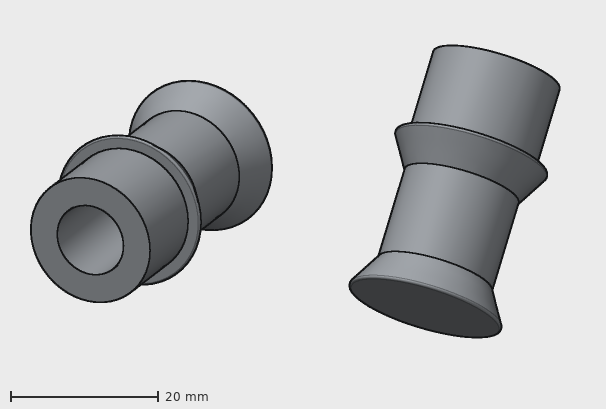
import math

import cadquery as cq

total_length = 34.95
spigot_length = 12.0
collar_length = 5.0

spigot_diameter = 18.0
barrel_diameter = 16.22
collar_diameter = 21.57
bore_diameter = 10.0

rim_radius = 0.3
taper_angle = math.radians(30)
bore_depth = total_length - collar_length

front_y = -total_length / 2
back_y = total_length / 2
shoulder_y = front_y + spigot_length


def flared_collar(face_y, direction):
    """Collar with a flat face at face_y, tapering to the barrel along direction (+1 or -1)."""
    rim_center_r = collar_diameter / 2 - rim_radius
    rim_center_y = face_y + direction * rim_radius
    tangent_r = rim_center_r + rim_radius * math.cos(taper_angle)
    tangent_y = rim_center_y + direction * rim_radius * math.sin(taper_angle)
    taper_end_y = face_y + direction * collar_length
    outline = (
        cq.Workplane("XY")
        .moveTo(0, face_y)
        .lineTo(rim_center_r, face_y)
        .threePointArc((collar_diameter / 2, rim_center_y), (tangent_r, tangent_y))
        .lineTo(barrel_diameter / 2, taper_end_y)
        .lineTo(0, taper_end_y)
        .close()
    )
    return outline.revolve(360, (0, 0, 0), (0, 1, 0))


def cylinder_along_y(diameter, start_y, length):
    """Solid cylinder on the Y axis, running from start_y toward +Y."""
    return cq.Workplane("XZ", origin=(0, start_y, 0)).circle(diameter / 2).extrude(-length)


spigot = cylinder_along_y(spigot_diameter, front_y, spigot_length)
barrel = cylinder_along_y(barrel_diameter, shoulder_y, back_y - shoulder_y)
bore = cylinder_along_y(bore_diameter, front_y, bore_depth)

result = (
    spigot.union(barrel)
    .union(flared_collar(shoulder_y, 1))
    .union(flared_collar(back_y, -1))
    .cut(bore)
)